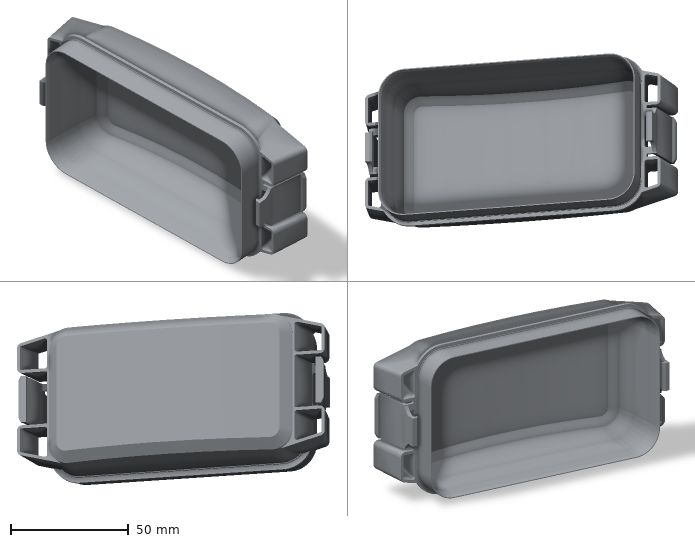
import cadquery as cq
import math

corner_x = 44.8
corner_z = 20.8

rim_radius = 11.5
bead_radius = 11.8
flange_radius = 13.3
lip_radius = 11.0
skirt_radius = 10.6
shoulder_radius = 9.8
back_radius = 8.1
bead_y = 10.2
flange_y = 10.6
flange_back_y = 12.0
lip_y = 12.6
shoulder_y = 18.0
depth = 37.0
dome_radius = 306.7
dome_bevel_side = 4.2
dome_bevel_depth = 3.8

opening_radius = 11.1
mouth_radius = 10.6
ledge_radius = 10.3
waist_radius = 9.4
floor_radius = 6.4
mouth_y = 1.6
ledge_y = 7.9
waist_y = 18.5
floor_thickness = 2.2
floor_bevel_side = 3.3
floor_bevel_depth = 2.6

half_length = 67.8
ear_front_x = 64.9
ear_back_y = 28.5
ear_straight = 0.8
ear_wall = 1.4
ear_low_z = 11.4
ear_root_x = 48.8
ear_root_z = 28.9
ear_tip_z = 24.0
ear_fillet = 2.2

root_front_x = 57.8
root_back_x = 54.5
slot_end_x = 58.6
slot_fillet = 0.61
window_fillet = 1.1

latch_half_width = 10.0
latch_arm_inner_z = 7.0
latch_front_x = 63.1
latch_thickness = 1.8
latch_bend_y = 11.8
latch_back_x = 65.7
grip_y = 26.6
grip_x = 67.3
grip_nose_x = 66.8
grip_nose_y = 27.7
grip_bevel_x = 1.1
grip_bevel_z = 2.0
tongue_half_width = 6.4
tongue_neck_y = 7.0
tongue_flare_bend = 0.4
tongue_end_y = 3.7
hook_reach = 1.2
hook_height = 1.6
hook_bevel = 1.0


def ring_plane(y):
    """Plane facing +Y whose local x points to -X and local y to +Z."""
    return cq.Workplane(cq.Plane(origin=(0, y, 0), xDir=(-1, 0, 0), normal=(0, 1, 0)))


def ring(start_y, end_y, start_radius, end_radius):
    """Rounded block between two Y positions, drafted from one corner radius to the other."""
    length = end_y - start_y
    draft = math.degrees(math.atan2(start_radius - end_radius, length))
    outline = cq.Sketch().rect(2 * (corner_x + start_radius), 2 * (corner_z + start_radius))
    outline = outline.vertices().fillet(start_radius)
    return ring_plane(start_y).placeSketch(outline).extrude(length, taper=draft)


def domed(block, top_y, bevel_side, bevel_depth, radius):
    """Trim the back of a block to a shallow arc along X and bevel the edge of the dome."""
    barrel = cq.Workplane("XY", origin=(0, top_y - radius, 0)).circle(radius).extrude(depth, both=True)
    trimmed = block.intersect(barrel)
    return trimmed.faces(">Y").chamfer(bevel_depth, bevel_side)


def housing_outside():
    """Tapered shell body with its domed back, before hollowing."""
    back = ring(shoulder_y, depth, shoulder_radius, back_radius)
    body = domed(back, depth, dome_bevel_side, dome_bevel_depth, dome_radius)
    body = body.union(ring(lip_y, shoulder_y, skirt_radius, shoulder_radius))
    body = body.union(ring(0, flange_y, rim_radius, rim_radius))
    body = body.union(ring(bead_y, flange_y, bead_radius, bead_radius))
    body = body.union(ring(flange_y, flange_back_y, flange_radius, flange_radius))
    return body.union(ring(flange_back_y, lip_y, lip_radius, lip_radius))


def cavity():
    """Space inside the housing, following its draft and its dome."""
    floor_y = depth - floor_thickness
    back = ring(waist_y, floor_y, waist_radius, floor_radius)
    space = domed(back, floor_y, floor_bevel_side, floor_bevel_depth, dome_radius - floor_thickness)
    space = space.union(ring(ledge_y, waist_y, ledge_radius, waist_radius))
    space = space.union(ring(mouth_y, ledge_y, mouth_radius, ledge_radius))
    return space.union(ring(0, mouth_y, opening_radius, mouth_radius))


def ear_outline(inner_x, tip_x, inset):
    """Cross-section of the upper ear, shrunk by inset; x is the distance from the centre."""
    slope = (ear_root_z - ear_tip_z) / (half_length - ear_root_x)
    low_z = ear_low_z + inset
    inner_z = ear_root_z - slope * (inner_x - ear_root_x) - inset
    tip_z = ear_root_z - slope * (tip_x - ear_root_x) - inset
    corners = [(inner_x, low_z), (tip_x, low_z), (tip_x, tip_z), (inner_x, inner_z), (inner_x, low_z)]
    return cq.Sketch().polygon(corners)


def flared(start_y, front, end_y, back):
    """Solid blending one sketch into another between two Y positions."""
    lift = cq.Location(cq.Vector(0, 0, end_y - start_y))
    return ring_plane(start_y).placeSketch(front, back.moved(lift)).loft(ruled=True)


def ear_shell():
    """Solid upper ear, flaring towards the back with a short straight stretch at its end."""
    flare_end_y = ear_back_y - ear_straight
    front = ear_outline(ear_root_x, ear_front_x, 0).vertices(">X").fillet(ear_fillet)
    back = ear_outline(ear_root_x, half_length, 0).vertices(">X").fillet(ear_fillet)
    flare = flared(flange_y, front, flare_end_y, back)
    return flare.union(ring_plane(flare_end_y).placeSketch(back).extrude(ear_straight))


def ear_window():
    """Opening right through the upper ear; its inner side follows the drafted housing."""
    front = ear_outline(root_front_x, ear_front_x - ear_wall, ear_wall)
    back = ear_outline(root_back_x, half_length - ear_wall, ear_wall)
    front = front.vertices("<X").fillet(window_fillet)
    back = back.vertices("<X").fillet(window_fillet)
    return flared(flange_y, front, ear_back_y, back)


def end_block(start_x, end_x, low_z, high_z):
    """Flange-thick rectangular block on the -X end."""
    block = ring_plane(flange_y).center((start_x + end_x) / 2, (low_z + high_z) / 2)
    return block.rect(end_x - start_x, high_z - low_z).extrude(flange_back_y - flange_y)


def root_wall():
    """Drafted thickening of the housing end between the two ears, with the latch web in front."""
    outline = [
        (-ear_root_x, flange_y),
        (-root_front_x, flange_y),
        (-root_back_x, ear_back_y),
        (-ear_root_x, ear_back_y),
    ]
    half_height = ear_low_z + ear_wall
    wall = cq.Workplane("XY").polyline(outline).close().extrude(half_height, both=True)
    return wall.union(end_block(ear_root_x, latch_front_x, -half_height, half_height))


def web_openings():
    """Latch window and the two slots that part the latch from the ears."""
    inner_edges = "|Y and >X"
    window_end_x = latch_front_x - latch_thickness
    window = end_block(root_front_x, window_end_x, -latch_arm_inner_z, latch_arm_inner_z)
    slot = end_block(slot_end_x, half_length, latch_half_width, ear_low_z)
    slot = slot.edges(inner_edges).fillet(slot_fillet)
    return window.edges(inner_edges).fillet(window_fillet).union(slot).union(slot.mirror("XY"))


def latch():
    """Flared latch plate on the -X end with a grip at the back and a hooked tongue at the front."""
    inner_x = latch_front_x - latch_thickness
    profile = [
        (latch_front_x, tongue_end_y),
        (latch_front_x, latch_bend_y),
        (latch_back_x, grip_y),
        (grip_nose_x, grip_y),
        (grip_x, grip_nose_y),
        (grip_x, ear_back_y),
        (latch_back_x - latch_thickness, ear_back_y),
        (latch_back_x - latch_thickness, grip_y),
        (inner_x, latch_bend_y),
        (inner_x, tongue_end_y + hook_height),
        (inner_x - hook_reach, tongue_end_y + hook_height),
        (inner_x - hook_reach, tongue_end_y + hook_bevel),
        (inner_x - hook_reach + hook_bevel, tongue_end_y),
    ]
    outline = [(-x, y) for x, y in profile]
    plate = cq.Workplane("XY").polyline(outline).close().extrude(latch_half_width, both=True)

    shoulder = latch_half_width - tongue_half_width
    bend = tongue_flare_bend * shoulder
    silhouette = (
        cq.Workplane("YZ", origin=(-half_length, 0, 0))
        .moveTo(tongue_end_y, -tongue_half_width)
        .lineTo(tongue_neck_y, -tongue_half_width)
        .threePointArc(
            (tongue_neck_y + shoulder - bend, -tongue_half_width - bend),
            (tongue_neck_y + shoulder, -latch_half_width),
        )
        .lineTo(ear_back_y, -latch_half_width)
        .lineTo(ear_back_y, latch_half_width)
        .lineTo(tongue_neck_y + shoulder, latch_half_width)
        .threePointArc(
            (tongue_neck_y + shoulder - bend, tongue_half_width + bend),
            (tongue_neck_y, tongue_half_width),
        )
        .lineTo(tongue_end_y, tongue_half_width)
        .close()
        .extrude(half_length)
    )
    grip_corners = [
        (ear_root_x, latch_half_width),
        (grip_x - grip_bevel_x, latch_half_width),
        (grip_x, latch_half_width - grip_bevel_z),
        (grip_x, grip_bevel_z - latch_half_width),
        (grip_x - grip_bevel_x, -latch_half_width),
        (ear_root_x, -latch_half_width),
    ]
    footprint = ring_plane(0).polyline(grip_corners).close().extrude(depth)
    return plate.intersect(silhouette).intersect(footprint)


def both_ends(part):
    """A -X end feature together with its mirror image on the +X end."""
    return part.union(part.mirror("YZ"))


def upper_and_lower(part):
    """A feature above the middle together with its mirror image below it."""
    return part.union(part.mirror("XY"))


result = housing_outside()
result = result.union(both_ends(upper_and_lower(ear_shell())))
result = result.union(both_ends(root_wall()))
result = result.cut(both_ends(upper_and_lower(ear_window())))
result = result.cut(both_ends(web_openings()))
result = result.union(both_ends(latch()))
result = result.cut(cavity())